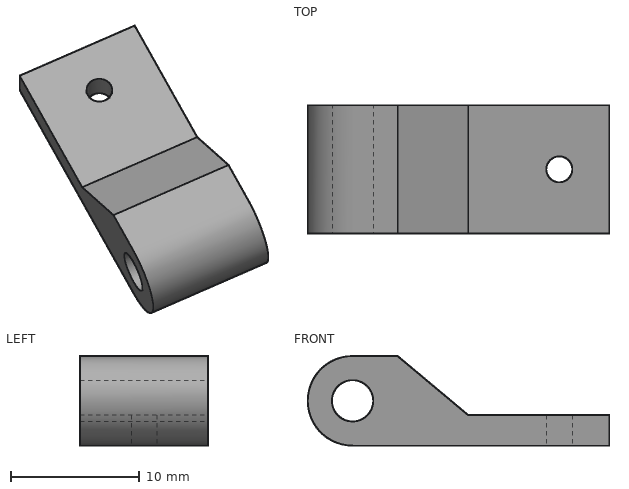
import cadquery as cq

length = 23.5
width = 10.0
barrel_diameter = 7.0
barrel_radius = barrel_diameter / 2

pin_hole_diameter = 3.2
ramp_top_x = barrel_diameter
ramp_foot_x = 12.5
plate_thickness = 2.4

screw_hole_diameter = 2.0
screw_hole_x = 19.6


def make_body():
    """Round-nosed barrel that ramps down to a flat plate, extruded across the width."""
    profile = (
        cq.Workplane("XZ", origin=(0, width / 2, 0))
        .moveTo(barrel_radius, 0)
        .threePointArc((0, barrel_radius), (barrel_radius, barrel_diameter))
        .lineTo(ramp_top_x, barrel_diameter)
        .lineTo(ramp_foot_x, plate_thickness)
        .lineTo(length, plate_thickness)
        .lineTo(length, 0)
        .close()
    )
    return profile.extrude(width)


def make_pin_hole():
    """Cutter for the hinge pin bore, concentric with the barrel and running along Y."""
    return (
        cq.Workplane("XZ", origin=(barrel_radius, width / 2, barrel_radius))
        .circle(pin_hole_diameter / 2)
        .extrude(width)
    )


def make_screw_hole():
    """Cutter for the vertical through hole on the plate's centre line."""
    return (
        cq.Workplane("XY", origin=(screw_hole_x, 0, 0))
        .circle(screw_hole_diameter / 2)
        .extrude(plate_thickness)
    )


result = make_body().cut(make_pin_hole()).cut(make_screw_hole())